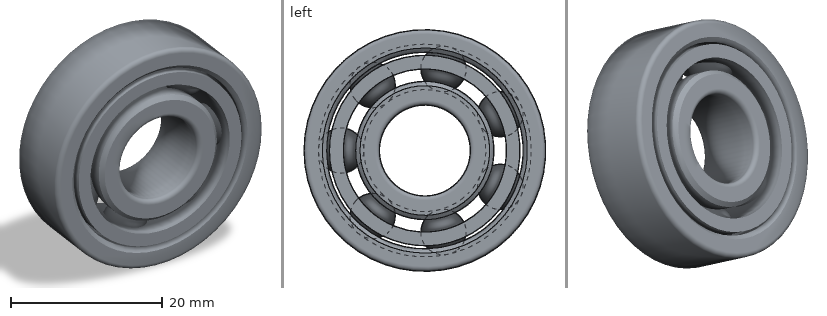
import cadquery as cq
import math


outer_diameter = 32.0
outer_radius = outer_diameter / 2
bore_diameter = 12.0
bore_radius = bore_diameter / 2
width = 10.0
edge_fillet = 0.6

inner_shoulder_radius = 9.15
outer_shoulder_radius = 13.0
shoulder_chamfer = 0.58

ball_count = 7
ball_radius = 3.0
pitch_radius = (inner_shoulder_radius + outer_shoulder_radius) / 2

cage_inner_radius = 10.8
cage_outer_radius = 12.6


def disc(radius):
    """Solid cylinder along X, as wide as the bearing and centred on the origin."""
    return cq.Workplane("YZ", origin=(-width / 2, 0, 0)).circle(radius).extrude(width)


def flared_cutter(radius, flare):
    """Hole cutter of the given radius that widens by 45 degrees to both end faces."""
    half_width = width / 2
    profile = [
        (-half_width, 0),
        (-half_width, radius + flare),
        (flare - half_width, radius),
        (half_width - flare, radius),
        (half_width, radius + flare),
        (half_width, 0),
    ]
    return cq.Workplane("XY").polyline(profile).close().revolve(360, (0, 0, 0), (1, 0, 0))


def raceway():
    """Torus swept by a ball around the bearing axis, so that the balls fit the grooves exactly."""
    axis = cq.Vector(1, 0, 0)
    return cq.Workplane(cq.Solid.makeTorus(pitch_radius, ball_radius, cq.Vector(), axis))


def make_outer_ring():
    """Ring with rounded outer edges, a chamfered hole and a ball groove inside."""
    ring = disc(outer_radius).edges("%CIRCLE").fillet(edge_fillet)
    return ring.cut(flared_cutter(outer_shoulder_radius, shoulder_chamfer)).cut(raceway())


def make_inner_ring():
    """Ring with a rounded bore, chamfered outer edges and a ball groove outside."""
    ring = disc(inner_shoulder_radius).edges("%CIRCLE").chamfer(shoulder_chamfer)
    bored = ring.cut(disc(bore_radius))
    bore_edges = cq.selectors.RadiusNthSelector(0)
    return bored.edges("%CIRCLE").edges(bore_edges).fillet(edge_fillet).cut(raceway())


def make_ball(index):
    """Ball in its place on the pitch circle; the first one sits on +Y."""
    angle = 2 * math.pi * index / ball_count
    center = (0, pitch_radius * math.cos(angle), pitch_radius * math.sin(angle))
    return cq.Workplane("XY").sphere(ball_radius).translate(center)


def make_cage(balls):
    """Plain tube between the rings with a spherical pocket around each ball."""
    cage = disc(cage_outer_radius).cut(disc(cage_inner_radius))
    for ball in balls:
        cage = cage.cut(ball)
    return cage


outer_ring = make_outer_ring()
inner_ring = make_inner_ring()
balls = [make_ball(index) for index in range(ball_count)]
cage = make_cage(balls)

result = cq.Compound.makeCompound(
    [outer_ring.val(), inner_ring.val(), cage.val(), *[ball.val() for ball in balls]]
)